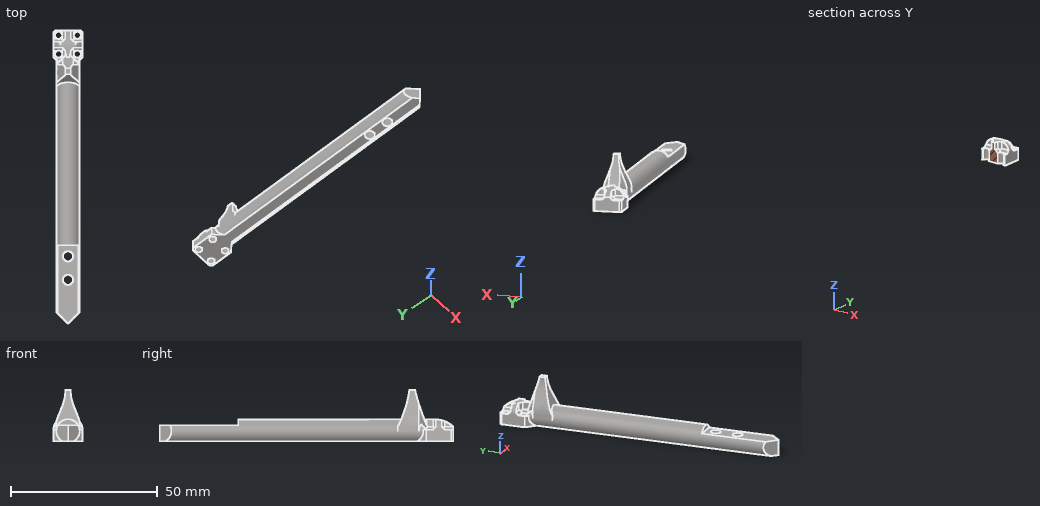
import cadquery as cq
import math

length = 100.0
rod_radius = 4.0
axis_z = 3.5
top_z = axis_z + rod_radius

flat_z = 5.5
flat_length = 26.7
tip_hole_diameter = 3.4
tip_hole_ys = (15.0, 23.0)

head_width = 10.0
head_half = head_width / 2
taper_start_y = 90.8
head_corner_chamfer = 0.7
shoulder_radius = 3.4
nose_z = 5.0
nose_radius = 9.0
nose_rise = top_z - nose_z

seat_center_y = 95.1
screw_offset = 3.2
screw_diameter = 2.4
seat_z = 4.0
seat_bevel = 1.0
spine_half = 1.0
spine_tip_half = 0.4
spine_point_y = 92.7
bridge_half = 1.0
seat_corner_cut = 1.0
seat_clearance = 10.0

spire_y = 86.0
spire_z = 17.5
spire_foot_z = 5.0
tip_edge = (1.0, spire_z)
side_curve = [(rod_radius, spire_foot_z), (3.8, 7.4), (3.2, 9.0), (1.8, 12.5), tip_edge]
front_curve = [(4.9, spire_foot_z), (2.0, 12.5), tip_edge]
rear_curve = [(5.2, spire_foot_z), (2.4, 12.5), tip_edge]
rear_corner_y = 2.3


def make_rod():
    rod = cq.Workplane("XZ").center(0, axis_z).circle(rod_radius).extrude(-taper_start_y)
    point = (
        cq.Workplane("XY")
        .moveTo(0, 0)
        .lineTo(rod_radius, rod_radius)
        .lineTo(rod_radius, taper_start_y)
        .lineTo(-rod_radius, taper_start_y)
        .lineTo(-rod_radius, rod_radius)
        .close()
        .extrude(top_z)
    )
    end_bevel = (
        cq.Workplane("YZ")
        .moveTo(taper_start_y, seat_z)
        .lineTo(taper_start_y, top_z)
        .lineTo(taper_start_y - (top_z - seat_z), top_z)
        .close()
        .extrude(rod_radius, both=True)
    )
    flat = cq.Workplane("XY").box(head_width, flat_length, top_z, centered=(True, False, False))
    holes = (
        cq.Workplane("XY")
        .pushPoints([(0, y) for y in tip_hole_ys])
        .circle(tip_hole_diameter / 2)
        .extrude(top_z)
    )
    return rod.intersect(point).cut(end_bevel).cut(flat.translate((0, 0, flat_z))).cut(holes)


def make_head_body():
    """Block with rounded shoulders, a curved nose and 45 degree sides running into the rod."""
    taper_end_y = taper_start_y - head_half
    corner = head_corner_chamfer
    plan = (
        cq.Workplane("XY")
        .moveTo(0, taper_end_y)
        .lineTo(head_half, taper_start_y)
        .lineTo(head_half, length - corner)
        .lineTo(head_half - corner, length)
        .lineTo(corner - head_half, length)
        .lineTo(-head_half, length - corner)
        .lineTo(-head_half, taper_start_y)
        .close()
        .extrude(top_z)
    )
    section = (
        cq.Workplane("XZ")
        .rect(head_width, 2 * top_z)
        .extrude(-length)
        .edges("|Y and >Z")
        .fillet(shoulder_radius)
    )
    nose_run = math.sqrt(nose_radius**2 - (nose_radius - nose_rise) ** 2)
    profile = (
        cq.Workplane("YZ")
        .moveTo(taper_end_y, 0)
        .lineTo(length, 0)
        .lineTo(length, nose_z)
        .radiusArc((length - nose_run, top_z), -nose_radius)
        .lineTo(taper_end_y, top_z)
        .close()
        .extrude(head_half, both=True)
    )
    return plan.intersect(section).intersect(profile)


def seat_cut(x_side, y_side):
    """Space over one screw: bevelled floor, then upright walls with a 45 degree inner corner."""
    outer = seat_clearance
    cut = seat_corner_cut
    walls = (
        cq.Workplane("XY", origin=(0, 0, seat_z))
        .moveTo(spine_half, bridge_half + cut)
        .lineTo(spine_half + cut, bridge_half)
        .lineTo(outer, bridge_half)
        .lineTo(outer, outer)
        .lineTo(spine_half, outer)
        .close()
        .extrude(top_z)
    )
    bevel_top = seat_z + seat_bevel

    def bevel(plane, wall):
        return (
            cq.Workplane(plane)
            .moveTo(wall, seat_z)
            .lineTo(wall + seat_bevel, seat_z)
            .lineTo(wall, bevel_top)
            .close()
            .extrude(outer, both=True)
        )

    cutter = walls.cut(bevel("XZ", spine_half)).cut(bevel("YZ", bridge_half))
    if x_side < 0:
        cutter = cutter.mirror("YZ")
    if y_side < 0:
        cutter = cutter.mirror("XZ")
    return cutter.translate((0, seat_center_y, 0))


def spine_point():
    """Space that narrows the front end of the spine to a blunt point, above the seat bevels."""
    back_y = taper_start_y - head_half
    tip_half = spine_tip_half
    return (
        cq.Workplane("XY", origin=(0, 0, seat_z + seat_bevel))
        .moveTo(-tip_half, taper_start_y)
        .lineTo(tip_half, taper_start_y)
        .lineTo(spine_half, spine_point_y)
        .lineTo(spine_half, back_y)
        .lineTo(-spine_half, back_y)
        .lineTo(-spine_half, spine_point_y)
        .close()
        .extrude(top_z)
    )


def make_head():
    head = make_head_body()
    for x_side in (-1, 1):
        for y_side in (-1, 1):
            head = head.cut(seat_cut(x_side, y_side))
    return head.cut(spine_point())


def flare(profile_plane, back, front):
    """Spire outline spread sideways; each side lists (half width, Z) from the foot up to the tip."""
    back_foot = back[0][0]
    front_points = [(-half, z) for half, z in front]
    front_foot = front_points[0][0]
    return (
        cq.Workplane(profile_plane)
        .workplane(offset=-head_width)
        .moveTo(front_foot, axis_z)
        .lineTo(back_foot, axis_z)
        .lineTo(*back[0])
        .spline(back[1:], includeCurrent=True)
        .lineTo(*front_points[-1])
        .spline(front_points[-2::-1], includeCurrent=True)
        .close()
        .extrude(2 * head_width)
    )


def make_spire():
    spire = flare("XZ", side_curve, side_curve).intersect(flare("YZ", rear_curve, front_curve))
    behind = cq.Workplane("XY").box(4 * head_width, 2 * head_width, spire_z, centered=(True, False, False))
    front_part = spire.cut(behind)
    rear_part = spire.intersect(behind)
    corner_curve = [((half + rear_corner_y) / math.sqrt(2), z) for half, z in side_curve]
    for turn in (-45, 45):
        corner_face = flare("YZ", corner_curve, corner_curve).rotate((0, 0, 0), (0, 0, 1), turn)
        rear_part = rear_part.intersect(corner_face)
    spire = front_part.union(rear_part)
    return spire.translate((0, spire_y, 0))


screws = (
    cq.Workplane("XY", origin=(0, seat_center_y, 0))
    .rect(2 * screw_offset, 2 * screw_offset, forConstruction=True)
    .vertices()
    .circle(screw_diameter / 2)
    .extrude(top_z)
)
above_floor = cq.Workplane("XY").box(head_width, length, spire_z, centered=(True, False, False))
result = make_rod().union(make_head()).union(make_spire()).cut(screws).intersect(above_floor)